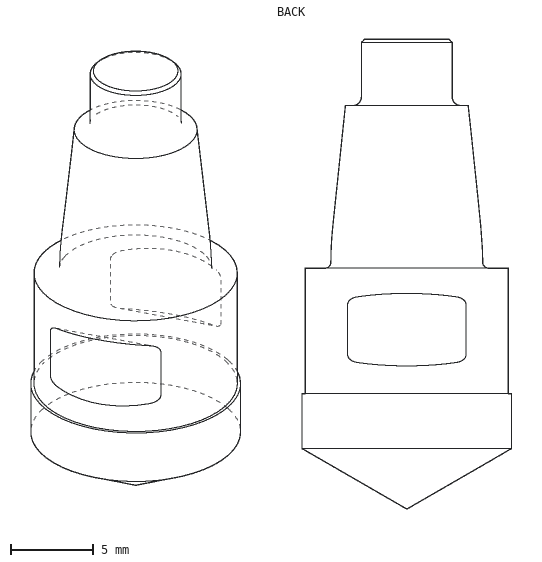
import cadquery as cq
import math

TOTAL_HEIGHT = 28.4
SHOULDER_Z = 24.4
TAPER_END_Z = 17.05
BODY_TOP_Z = 14.57
COLLAR_TOP_Z = 7.0

STUD_RADIUS = 5.5 / 2
SHOULDER_RADIUS = 3.72
TAPER_END_RADIUS = 4.5
NECK_RADIUS = 4.6
BODY_RADIUS = 12.3 / 2
COLLAR_RADIUS = 12.7 / 2

STUD_CHAMFER = 0.2
STUD_FILLET = 0.5
NECK_FILLET = 0.35

POINT_ANGLE = 30.0

ACROSS_FLATS = 10.0
FLAT_CENTER_Z = 10.85
FLAT_HEIGHT = 2.98
FLAT_FILLET = 0.5
FLAT_WALL_DRAFT = 15.0
CUT_CLEARANCE = 0.57

COS_45 = math.cos(math.radians(45))


def arc_fillet(profile, shaft_radius, foot_z, fillet):
    """Concave quarter arc from the shaft down to the step at foot_z."""
    sag = fillet * (1 - COS_45)
    return profile.threePointArc(
        (shaft_radius + sag, foot_z + sag),
        (shaft_radius + fillet, foot_z),
    )


def make_shank():
    """Stepped, tapered shank on a cylindrical body, as one revolved solid."""
    profile = (
        cq.Workplane("XZ")
        .moveTo(0, COLLAR_TOP_Z)
        .lineTo(0, TOTAL_HEIGHT)
        .lineTo(STUD_RADIUS - STUD_CHAMFER, TOTAL_HEIGHT)
        .lineTo(STUD_RADIUS, TOTAL_HEIGHT - STUD_CHAMFER)
        .lineTo(STUD_RADIUS, SHOULDER_Z + STUD_FILLET)
    )
    profile = arc_fillet(profile, STUD_RADIUS, SHOULDER_Z, STUD_FILLET)
    profile = (
        profile.lineTo(SHOULDER_RADIUS, SHOULDER_Z)
        .lineTo(TAPER_END_RADIUS, TAPER_END_Z)
        .tangentArcPoint((NECK_RADIUS, BODY_TOP_Z + NECK_FILLET), relative=False)
    )
    profile = arc_fillet(profile, NECK_RADIUS, BODY_TOP_Z, NECK_FILLET)
    return (
        profile.lineTo(BODY_RADIUS, BODY_TOP_Z)
        .lineTo(BODY_RADIUS, COLLAR_TOP_Z)
        .close()
        .revolve(360, (0, 0, 0), (0, 1, 0))
    )


def make_flat_cutter():
    """Prism for the flat on +Y: flat floor, rounded corners and drafted walls."""
    floor_y = ACROSS_FLATS / 2
    outer_y = BODY_RADIUS + CUT_CLEARANCE
    half_floor = FLAT_HEIGHT / 2

    def arc_point(turn_angle):
        """Offset (out, along) from the floor edge after turning by turn_angle."""
        turn = math.radians(turn_angle)
        return FLAT_FILLET * (1 - math.cos(turn)), FLAT_FILLET * math.sin(turn)

    full_turn = 90 - FLAT_WALL_DRAFT
    mid_out, mid_along = arc_point(full_turn / 2)
    end_out, end_along = arc_point(full_turn)
    end_y = floor_y + end_out
    end_half = half_floor + end_along
    outer_half = end_half + (outer_y - end_y) * math.tan(math.radians(FLAT_WALL_DRAFT))

    return (
        cq.Workplane("YZ", origin=(0, 0, FLAT_CENTER_Z))
        .moveTo(floor_y, -half_floor)
        .lineTo(floor_y, half_floor)
        .threePointArc((floor_y + mid_out, half_floor + mid_along), (end_y, end_half))
        .lineTo(outer_y, outer_half)
        .lineTo(outer_y, -outer_half)
        .lineTo(end_y, -end_half)
        .threePointArc((floor_y + mid_out, -half_floor - mid_along), (floor_y, -half_floor))
        .close()
        .extrude(BODY_RADIUS, both=True)
    )


def make_tip():
    """Collar with a conical point, meeting the shank at the collar's top face."""
    cone_height = COLLAR_RADIUS * math.tan(math.radians(POINT_ANGLE))
    return (
        cq.Workplane("XZ")
        .lineTo(COLLAR_RADIUS, cone_height)
        .lineTo(COLLAR_RADIUS, COLLAR_TOP_Z)
        .lineTo(0, COLLAR_TOP_Z)
        .close()
        .revolve(360, (0, 0, 0), (0, 1, 0))
    )


shank = make_shank()
flat_cutter = make_flat_cutter()
for side_angle in (0, 180):
    shank = shank.cut(flat_cutter.rotate((0, 0, 0), (0, 0, 1), side_angle))

tip = make_tip()

result = cq.Compound.makeCompound([shank.solids().val(), tip.val()])